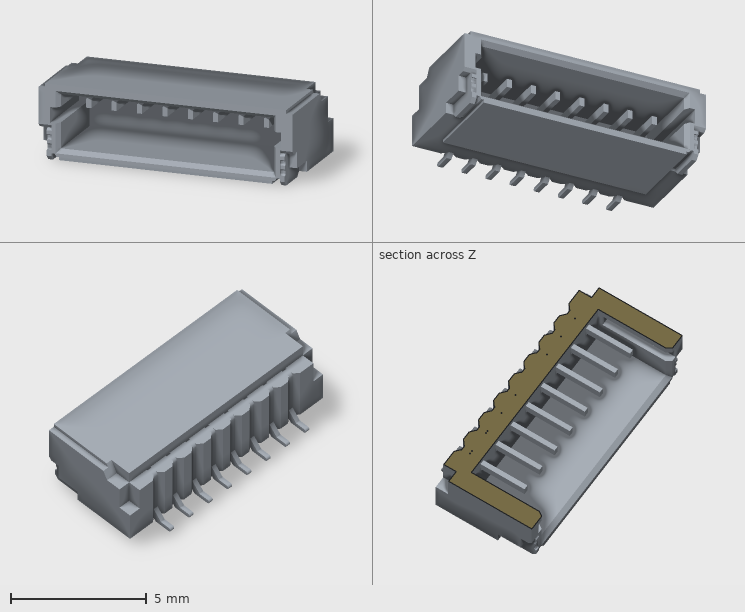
import cadquery as cq
import math


pin_count = 8
pin_pitch = 1.0
pin_width = 0.2

housing_width = 10.0
housing_depth = 4.25
housing_bottom = 0.18
housing_top = 2.96
half_width = housing_width / 2

ledge_front = 3.70
ledge_top = 2.46
corner_ledge_top = 1.46
corner_width = 0.5

shoulder_width = 0.25
shoulder_top = 2.81
relief_front_low = 3.05
relief_front_high = 2.77

pad_half_width = 4.2
pad_depth = 3.315
pad_bottom = 0.06

cavity_half_width = 4.2
cavity_floor = 0.46
cavity_roof = 2.555
cavity_depth = 3.2
mouth_half_width = 4.33
mouth_floor = 0.31
mouth_roof = 2.71
mouth_depth = 0.2

slot_half_width = 4.55
slot_bottom = 1.46
slot_top = 2.07
slot_depth = 3.0

groove_floor = 4.075
groove_half_width = 0.31

blade_tip = 1.25
blade_bottom = 1.79
blade_top = 2.135
blade_gusset_height = 0.15
blade_gusset_depth = 0.065

contact_rear_radius = 0.14
contact_front_radius = 0.09

tail_end = 4.95
tail_thickness = 0.18
tail_bend_top = 4.45
tail_bend_bottom = 4.18
tail_root = 3.9
tail_slope = 1.1

plate_inner = 4.5
plate_outer = 4.69
window_depth = 1.495
window_step_height = 0.607
window_upper_depth = 0.49
window_top = 1.25
window_flare_depth = 0.125
window_flare_height = 0.127
plate_top_bevel = 0.09
plate_bottom_bevel_depth = 0.17
plate_bottom_bevel_height = 0.18

serration_top = 1.02
serration_bottom = 0.40
serration_depth = 0.105
serration_tooth_depth = 0.055
serration_bevel = 0.07
tooth_top = 0.79
tooth_bottom = 0.655

relief_top = 0.288
relief_flat_end = 4.38
relief_low_end = 4.30


def box(x_range, y_range, z_range):
    """Axis-aligned block given its limits along each axis."""
    size = [high - low for low, high in (x_range, y_range, z_range)]
    corner = (x_range[0], y_range[0], z_range[0])
    return cq.Workplane("XY").box(*size, centered=False).translate(corner)


def extrude_side_profile(points, x_start, x_end):
    """Extrude a closed outline of (Y, Z) points along X."""
    outline = cq.Workplane("YZ", origin=(x_start, 0, 0)).polyline(points).close()
    return outline.extrude(x_end - x_start)


def both_sides(right_shape):
    """A shape joined with its mirror image across the X = 0 plane."""
    return right_shape.union(right_shape.mirror("YZ"))


def make_housing_block():
    profile = [
        (0, housing_bottom),
        (housing_depth, housing_bottom),
        (housing_depth, ledge_top),
        (ledge_front, ledge_top),
        (ledge_front, housing_top),
        (0, housing_top),
    ]
    block = extrude_side_profile(profile, -half_width, half_width)
    pad = box((-pad_half_width, pad_half_width), (0, pad_depth), (pad_bottom, housing_bottom))
    return block.union(pad)


def make_top_edge_cuts():
    shoulder = box((half_width - shoulder_width, half_width), (0, ledge_front), (shoulder_top, housing_top))
    relief_profile = [
        (relief_front_low, ledge_top),
        (relief_front_high, housing_top),
        (housing_depth, housing_top),
        (housing_depth, ledge_top),
    ]
    corner_inner = half_width - corner_width
    relief = extrude_side_profile(relief_profile, corner_inner, half_width)
    corner = box((corner_inner, half_width), (ledge_front, housing_depth), (corner_ledge_top, ledge_top))
    return both_sides(shoulder.union(relief).union(corner))


def make_cavity():
    cavity = box(
        (-cavity_half_width, cavity_half_width),
        (0, cavity_depth),
        (cavity_floor, cavity_roof),
    )
    mouth = (
        cq.Workplane("XZ")
        .center(0, (mouth_floor + mouth_roof) / 2)
        .rect(2 * mouth_half_width, mouth_roof - mouth_floor)
        .workplane(offset=-mouth_depth)
        .center(0, (cavity_floor + cavity_roof - mouth_floor - mouth_roof) / 2)
        .rect(2 * cavity_half_width, cavity_roof - cavity_floor)
        .loft(ruled=True)
    )
    slots = box((-slot_half_width, slot_half_width), (0, slot_depth), (slot_bottom, slot_top))
    return cavity.union(mouth).union(slots)


def make_rear_groove(x):
    half_pin = pin_width / 2
    points = [
        (x - half_pin, groove_floor),
        (x + half_pin, groove_floor),
        (x + groove_half_width, housing_depth),
        (x - groove_half_width, housing_depth),
    ]
    return cq.Workplane("XY").polyline(points).close().extrude(housing_top)


def make_corner_round(x, corner_y, radius):
    """Waste outside a rounded top corner; a negative radius rounds a front corner."""
    drop = abs(radius)
    arc_inset = 1 - math.sqrt(0.5)
    waste = (
        cq.Workplane("YZ", origin=(x - pin_width / 2, 0, 0))
        .moveTo(corner_y - radius, ledge_top)
        .threePointArc(
            (corner_y - radius * arc_inset, ledge_top - drop * arc_inset),
            (corner_y, ledge_top - drop),
        )
        .lineTo(corner_y, ledge_top)
        .close()
    )
    return waste.extrude(pin_width)


def make_contact_top_rounds(x):
    rear = make_corner_round(x, groove_floor, contact_rear_radius)
    front = make_corner_round(x, ledge_front, -contact_front_radius)
    return rear.union(front)


def make_blade(x):
    profile = [
        (blade_tip, blade_top),
        (ledge_front, blade_top),
        (ledge_front, blade_bottom - blade_gusset_height),
        (cavity_depth, blade_bottom - blade_gusset_height),
        (cavity_depth - blade_gusset_depth, blade_bottom),
        (blade_tip, blade_bottom),
    ]
    return extrude_side_profile(profile, x - pin_width / 2, x + pin_width / 2)


def make_tail(x):
    end_radius = tail_thickness / 2
    slope_top = (tail_bend_top - groove_floor) * tail_slope + tail_thickness
    slope_bottom = (tail_bend_bottom - tail_root) * tail_slope
    outline = (
        cq.Workplane("YZ", origin=(x - pin_width / 2, 0, 0))
        .moveTo(tail_end - end_radius, 0)
        .threePointArc((tail_end, end_radius), (tail_end - end_radius, tail_thickness))
        .lineTo(tail_bend_top, tail_thickness)
        .lineTo(groove_floor, slope_top)
        .lineTo(tail_root, slope_top)
        .lineTo(tail_root, slope_bottom)
        .lineTo(tail_bend_bottom, 0)
        .close()
    )
    return outline.extrude(pin_width)


def make_side_windows():
    profile = [
        (0, 0),
        (window_depth, 0),
        (window_depth, window_step_height),
        (window_upper_depth, window_step_height),
        (window_upper_depth, window_top),
        (window_flare_depth, window_top),
        (0, window_top + window_flare_height),
    ]
    window = extrude_side_profile(profile, plate_inner, half_width)
    relief_points = [
        (plate_inner, 0),
        (plate_inner, relief_top),
        (relief_flat_end, relief_top),
        (relief_low_end, housing_bottom),
        (relief_low_end, 0),
    ]
    relief = cq.Workplane("XZ").polyline(relief_points).close().extrude(-window_depth)
    return both_sides(window.union(relief))


def make_solder_plates():
    profile = [
        (plate_bottom_bevel_depth, 0),
        (window_depth - plate_bottom_bevel_depth, 0),
        (window_depth, plate_bottom_bevel_height),
        (window_depth, window_step_height),
        (window_upper_depth, window_step_height),
        (window_upper_depth, window_top),
        (plate_top_bevel, window_top),
        (0, window_top - plate_top_bevel),
        (0, serration_top),
        (serration_tooth_depth, serration_top),
        (serration_depth, serration_top - serration_bevel),
        (serration_depth, tooth_top + serration_bevel),
        (serration_tooth_depth, tooth_top),
        (serration_tooth_depth, tooth_bottom),
        (serration_depth, tooth_bottom - serration_bevel),
        (serration_depth, serration_bottom + serration_bevel),
        (serration_tooth_depth, serration_bottom),
        (0, serration_bottom),
        (0, plate_bottom_bevel_height),
    ]
    return both_sides(extrude_side_profile(profile, plate_inner, plate_outer))


first_pin_x = -pin_pitch * (pin_count - 1) / 2
pin_positions = [first_pin_x + index * pin_pitch for index in range(pin_count)]

result = make_housing_block().cut(make_top_edge_cuts()).cut(make_cavity())
result = result.cut(make_side_windows()).union(make_solder_plates())
for pin_x in pin_positions:
    result = result.cut(make_rear_groove(pin_x)).cut(make_contact_top_rounds(pin_x))
    result = result.union(make_blade(pin_x)).union(make_tail(pin_x))